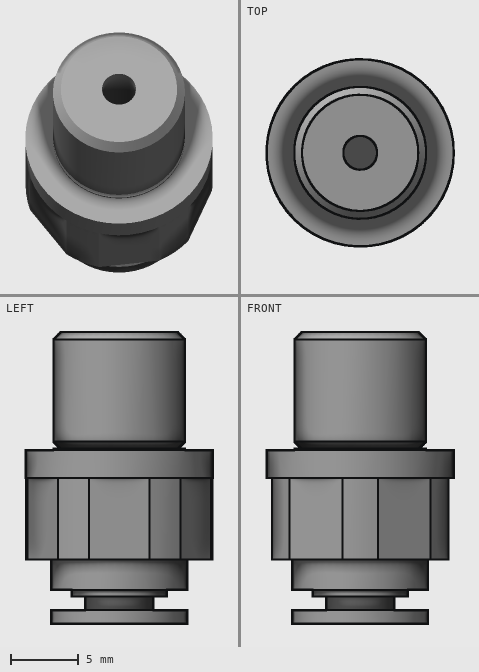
import cadquery as cq

total_length = 21.5
release_disk_height = 1.0
neck_height = 0.99
collar_height = 0.5
sleeve_height = 2.23
hex_height = 6.0
flange_height = 2.06
seal_height = 0.13

release_disk_radius = 5.0
neck_radius = 2.51
collar_radius = 3.5
sleeve_radius = release_disk_radius
flange_radius = 6.9
shank_radius = 4.85

hex_across_flats = 13.0
hex_corner_radius = 6.88

top_chamfer = 0.58
bottom_chamfer = 0.5

bore_radius = 1.25


def cylinder(radius, height, base):
    return cq.Workplane("XY").workplane(offset=base).circle(radius).extrude(height)


def rounded_hexagon(base):
    """Hexagonal prism with flats facing +X and -X and corners turned round."""
    prism = (
        cq.Workplane("XY")
        .workplane(offset=base)
        .polygon(6, hex_across_flats, circumscribed=True)
        .extrude(hex_height)
    )
    return prism.intersect(cylinder(hex_corner_radius, hex_height, base))


def threaded_shank(base):
    shank = cylinder(shank_radius, total_length - base, base)
    return shank.faces(">Z").chamfer(top_chamfer).faces("<Z").chamfer(bottom_chamfer)


neck_base = release_disk_height
collar_base = neck_base + neck_height
sleeve_base = collar_base + collar_height
hex_base = sleeve_base + sleeve_height
flange_base = hex_base + hex_height
seal_base = flange_base + flange_height
shank_base = seal_base + seal_height

body = (
    cylinder(release_disk_radius, release_disk_height, 0)
    .union(cylinder(neck_radius, neck_height, neck_base))
    .union(cylinder(collar_radius, collar_height, collar_base))
    .union(cylinder(sleeve_radius, sleeve_height, sleeve_base))
    .union(rounded_hexagon(hex_base))
    .union(cylinder(flange_radius, flange_height, flange_base))
    .union(cylinder(shank_radius, seal_height, seal_base))
    .union(threaded_shank(shank_base))
)

bore = cylinder(bore_radius, total_length - shank_base, shank_base)
result = body.cut(bore)